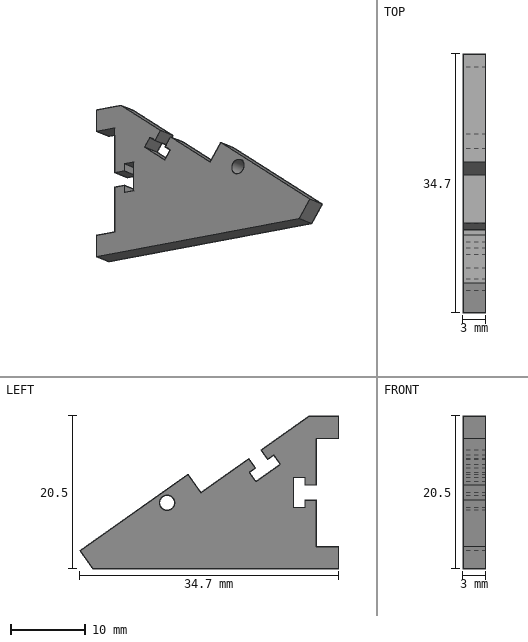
import cadquery as cq
import math

thickness = 3.0
length = 34.74
height = 20.51
mid_height = height / 2

slope_angle = 35.264
top_flat = 4.0
step_depth = 3.0

arm_height = 3.0
recess_depth = 3.0

neck_width = 2.0
neck_depth = 1.55
head_width = 4.0
head_depth = 1.5

hole_diameter = 2.0
hole_from_peak = 4.5
hole_from_edge = 1.5

cos_slope = math.cos(math.radians(slope_angle))
sin_slope = math.sin(math.radians(slope_angle))
down_slope = (cos_slope, -sin_slope)
into_plate = (-sin_slope, -cos_slope)


def move(point, direction, distance):
    """Point reached by going a distance from a (Y, Z) point along a unit direction."""
    return (point[0] + direction[0] * distance, point[1] + direction[1] * distance)


slope_top = (top_flat, height)
upper_edge_length = mid_height / sin_slope
step_corner = move(slope_top, down_slope, upper_edge_length)
peak = move(step_corner, into_plate, -step_depth)
lower_edge_length = (length - peak[0]) / cos_slope
nose_tip = move(peak, down_slope, lower_edge_length)
nose_foot = move(nose_tip, into_plate, nose_tip[1] / cos_slope)


def make_plate():
    outline = [
        (0, 0),
        (0, arm_height),
        (recess_depth, arm_height),
        (recess_depth, height - arm_height),
        (0, height - arm_height),
        (0, height),
        slope_top,
        step_corner,
        peak,
        nose_tip,
        nose_foot,
    ]
    return cq.Workplane("YZ").polyline(outline).close().extrude(thickness)


def make_t_slot(mouth, inward):
    """Cutter for a T-slot opening at the mouth point and running inward."""
    across = (-inward[1], inward[0])
    total_depth = neck_depth + head_depth

    def corner(depth, offset):
        return move(move(mouth, inward, depth), across, offset)

    outline = [
        corner(0, -neck_width / 2),
        corner(neck_depth, -neck_width / 2),
        corner(neck_depth, -head_width / 2),
        corner(total_depth, -head_width / 2),
        corner(total_depth, head_width / 2),
        corner(neck_depth, head_width / 2),
        corner(neck_depth, neck_width / 2),
        corner(0, neck_width / 2),
    ]
    return cq.Workplane("YZ").polyline(outline).close().extrude(thickness)


def make_cross_hole():
    center = move(move(peak, down_slope, hole_from_peak), into_plate, hole_from_edge)
    return cq.Workplane("YZ").center(*center).circle(hole_diameter / 2).extrude(thickness)


recess_slot = make_t_slot((recess_depth, mid_height), (1, 0))
slope_slot = make_t_slot(move(slope_top, down_slope, upper_edge_length / 2), into_plate)

result = make_plate().cut(recess_slot).cut(slope_slot).cut(make_cross_hole())